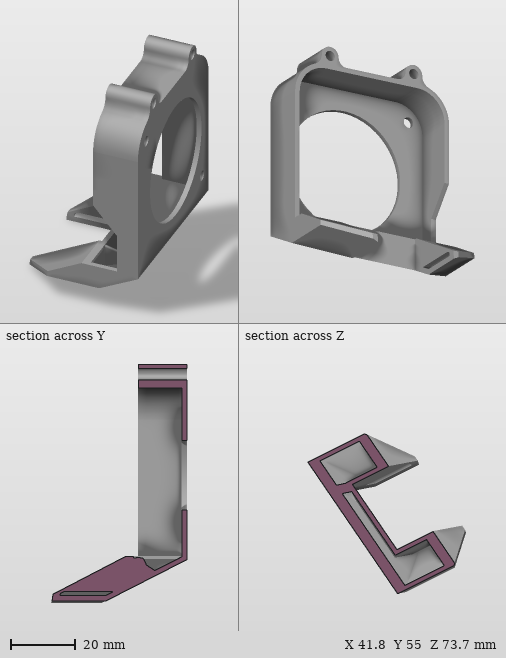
import cadquery as cq
import math


width = 55.0
height = 73.65
length = 41.8
wall = 1.6
half_width = width / 2
inner_half_width = half_width - wall

box_depth = 15.0
box_top = 67.8
corner_radius = 11.3
corner_y = half_width - corner_radius
corner_z = box_top - corner_radius
fan_hole_diameter = 40.0
fan_hole_center = (2.0, 39.5)
screw_hole_diameter = 3.4
screw_hole_centers = [(-20.9, 60.3), (22.3, 21.65)]

ear_radius = 3.0
ear_y = 14.95
ear_z = height - ear_radius
ear_hole_diameter = 3.3

side_cut_x = -7.0
side_cut_low_z = 27.55
side_cut_high_z = 36.75

base_top = 14.5
back_edge_z = 13.4
floor_slope = 0.51
leg_top_slope = 0.52
bend_x = -18.9
bridge_x = -18.05
leg_inner_y = 13.55
chamfer_start_x = -31.7
tip_lean = 0.16
tip_width = 1.8
facet_outer_z = 6.8

lid_thickness = 0.95
floor_thickness = wall * math.hypot(1, floor_slope)
duct_front_x = bridge_x + wall
leg_roof_z = 13.4
leg_roof_slope = 0.46
outlet_top_z = 3.6
duct_tip_wall = 2.35
inlet_y = -6.0

vane_tip_y = -14.1
vane_thickness = 1.0
vane_top_z = 14.15
vane_curve_radius = 6.85
vane_drift = 0.28


def prism_x(points, x_start, x_end):
    """Extrude a closed (y, z) outline along X."""
    outline = cq.Workplane("YZ", origin=(x_start, 0, 0)).polyline(points).close()
    return outline.extrude(x_end - x_start)


def prism_y(points, y_start, y_end):
    """Extrude a closed (x, z) outline along Y."""
    outline = cq.Workplane("XZ", origin=(0, y_start, 0)).polyline(points).close()
    return outline.extrude(y_start - y_end)


def leaning_prism(points):
    """Extrude a closed (x, y) outline to the base top, leaning back towards +X."""
    outline = cq.Workplane("XY").polyline(points).close()
    face = cq.Face.makeFromWires(outline.val())
    direction = cq.Vector(tip_lean * base_top, 0, base_top)
    return cq.Workplane(cq.Solid.extrudeLinear(face, direction))


def block(x_range, y_range, z_range):
    """Axis-aligned box between pairs of coordinates."""
    sizes = [high - low for low, high in (x_range, y_range, z_range)]
    corner = (x_range[0], y_range[0], z_range[0])
    return cq.Workplane("XY").box(*sizes, centered=False).translate(corner)


def base_form(profile, half_plan, gap_x, facet_lift):
    """Two-legged body: side profile crossed with a mirrored plan, cut by the gap and facets."""
    plan = half_plan + [(x, -y) for x, y in reversed(half_plan)]
    form = prism_y(profile, -half_width, half_width).intersect(leaning_prism(plan))
    form = form.cut(block((-length, gap_x), (-leg_inner_y, leg_inner_y), (0, base_top)))
    for side in (-1, 1):
        below_facet = [
            (side * half_width, facet_outer_z + facet_lift),
            (side * leg_inner_y, facet_lift),
            (side * leg_inner_y, -wall),
            (side * half_width, -wall),
        ]
        form = form.cut(prism_x(below_facet, -length, 0))
    return form


def fan_box_outline():
    """Rounded box outline with two ears, each blended into the top and the corner."""
    inner_fillet = ear_z - box_top
    ear_side = ear_y + ear_radius
    offset_y = ear_side - corner_y
    offset_z = ear_z - corner_z
    outer_fillet = (offset_y**2 + offset_z**2 - corner_radius**2) / (2 * (corner_radius - offset_y))
    center_distance = corner_radius + outer_fillet
    touch_y = corner_y + corner_radius * (offset_y + outer_fillet) / center_distance
    touch_z = corner_z + corner_radius * offset_z / center_distance
    top_y = ear_y - ear_radius - inner_fillet

    outline = cq.Workplane("YZ").moveTo(half_width, base_top).lineTo(half_width, corner_z)
    outline = outline.radiusArc((touch_y, touch_z), -corner_radius)
    outline = outline.radiusArc((ear_side, ear_z), outer_fillet)
    outline = outline.threePointArc((ear_y, height), (ear_y - ear_radius, ear_z))
    outline = outline.radiusArc((top_y, box_top), inner_fillet)
    outline = outline.lineTo(-top_y, box_top)
    outline = outline.radiusArc((ear_radius - ear_y, ear_z), inner_fillet)
    outline = outline.threePointArc((-ear_y, height), (-ear_side, ear_z))
    outline = outline.radiusArc((-touch_y, touch_z), outer_fillet)
    outline = outline.radiusArc((-half_width, corner_z), -corner_radius)
    return outline.lineTo(-half_width, base_top).close()


def make_fan_box():
    box = fan_box_outline().extrude(-box_depth)

    inner_top = box_top - wall
    room = block((-box_depth, -wall), (-inner_half_width, inner_half_width), (base_top, inner_top))
    box = box.cut(room.edges("|X and >Z").fillet(corner_radius - wall))

    fan_hole = cq.Workplane("YZ").center(*fan_hole_center).circle(fan_hole_diameter / 2)
    box = box.cut(fan_hole.extrude(-wall))
    screw_holes = cq.Workplane("YZ").pushPoints(screw_hole_centers).circle(screw_hole_diameter / 2)
    box = box.cut(screw_holes.extrude(-wall))
    ear_holes = cq.Workplane("YZ").pushPoints([(-ear_y, ear_z), (ear_y, ear_z)])
    box = box.cut(ear_holes.circle(ear_hole_diameter / 2).extrude(-box_depth))

    side_cut = [
        (-box_depth, base_top),
        (side_cut_x, base_top),
        (side_cut_x, side_cut_low_z),
        (-box_depth, side_cut_high_z),
    ]
    return box.cut(prism_y(side_cut, -half_width, -inner_half_width))


def make_base():
    profile = [
        (0, base_top),
        (bend_x, base_top),
        (-length, base_top - leg_top_slope * (length + bend_x)),
        (-length, 0),
        (-back_edge_z / floor_slope, 0),
        (0, back_edge_z),
    ]
    half_plan = [
        (0, half_width),
        (chamfer_start_x, half_width),
        (-length, leg_inner_y + tip_width),
    ]
    return base_form(profile, half_plan, bridge_x, 0)


def make_vane():
    """Splitter with an upright -Y side, a rounded tip and a hollow curve on the +Y side."""
    tip_radius = vane_thickness / 2
    tip_z = vane_top_z - tip_radius
    foot_z = tip_z - vane_curve_radius
    right_y = vane_tip_y - vane_thickness
    outline = (
        cq.Workplane("YZ", origin=(duct_front_x, 0, 0))
        .moveTo(vane_tip_y + vane_curve_radius, foot_z)
        .radiusArc((vane_tip_y, tip_z), vane_curve_radius)
        .threePointArc((vane_tip_y - tip_radius, vane_top_z), (right_y, tip_z))
        .lineTo(right_y, 0)
        .lineTo(vane_tip_y + vane_curve_radius, 0)
        .close()
    )
    face = cq.Face.makeFromWires(outline.val())
    run = -duct_front_x
    direction = cq.Vector(run, -vane_drift * run, 0)
    return cq.Workplane(cq.Solid.extrudeLinear(face, direction))


def make_duct():
    floor_back_z = back_edge_z + floor_thickness
    lid_bottom = base_top - lid_thickness
    duct_back_x = (lid_bottom - floor_back_z) / floor_slope
    duct_tip_x = duct_tip_wall - length
    tip_roof_z = leg_roof_z + leg_roof_slope * (duct_tip_x - duct_front_x)
    profile = [
        (duct_back_x, lid_bottom),
        (duct_front_x, lid_bottom),
        (duct_front_x, leg_roof_z),
        (duct_tip_x, tip_roof_z),
        (duct_tip_x, 0),
        (-floor_back_z / floor_slope, 0),
    ]
    chamfer_x = length + chamfer_start_x
    chamfer_y = half_width - leg_inner_y - tip_width
    shift_x = wall * math.hypot(chamfer_x, chamfer_y) / chamfer_y
    start_x = chamfer_start_x + shift_x - wall * chamfer_x / chamfer_y
    tip_y = inner_half_width - (start_x - duct_tip_x) * chamfer_y / chamfer_x
    half_plan = [
        (0, inner_half_width),
        (start_x, inner_half_width),
        (duct_tip_x, tip_y),
    ]
    duct = base_form(profile, half_plan, duct_front_x, floor_thickness)

    leg_wall = block((-length, duct_front_x), (leg_inner_y, leg_inner_y + wall), (outlet_top_z, base_top))
    duct = duct.cut(leg_wall).cut(leg_wall.mirror("XZ"))

    inlet = [
        (-wall, base_top),
        (duct_front_x, base_top),
        (duct_front_x, lid_bottom),
        (duct_back_x, lid_bottom),
        (-wall, floor_back_z - floor_slope * wall),
    ]
    duct = duct.union(prism_y(inlet, -inner_half_width, inlet_y))
    return duct.cut(make_vane())


result = make_base().cut(make_duct()).union(make_fan_box())